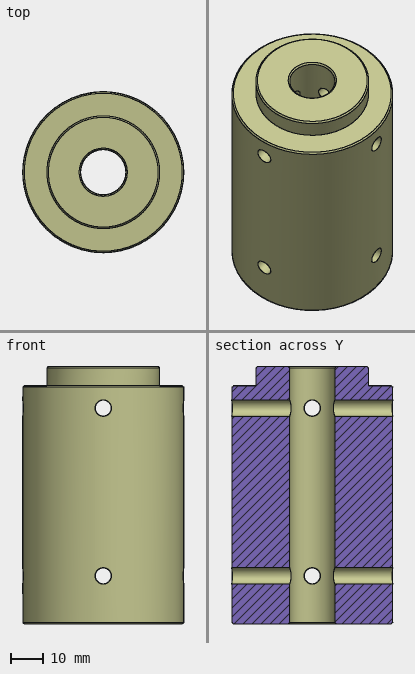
import cadquery as cq

total_height = 80.0
body_diameter = 50.0
spigot_diameter = 35.0
spigot_height = 6.0
bore_diameter = 14.0
edge_chamfer = 0.5

cross_hole_diameter = 5.0
lower_hole_height = 15.0
upper_hole_below_shoulder = 7.0

body_height = total_height - spigot_height
upper_hole_height = body_height - upper_hole_below_shoulder


def chamfered_cylinder(diameter, height):
    """Upright cylinder with both end edges chamfered."""
    return cq.Workplane("XY").circle(diameter / 2).extrude(height).edges().chamfer(edge_chamfer)


def cross_hole(plane, height):
    """Cutter for a radial hole passing right through the body."""
    return (
        cq.Workplane(plane)
        .center(0, height)
        .circle(cross_hole_diameter / 2)
        .extrude(body_diameter, both=True)
    )


body = chamfered_cylinder(body_diameter, body_height)
spigot = chamfered_cylinder(spigot_diameter, total_height)
result = body.union(spigot)

bore = cq.Workplane("XY").circle(bore_diameter / 2).extrude(total_height)
result = result.cut(bore)
bore_mouths = cq.selectors.RadiusNthSelector(0)
result = result.edges("%CIRCLE").edges(bore_mouths).chamfer(edge_chamfer)

for hole_height in (lower_hole_height, upper_hole_height):
    for hole_plane in ("XZ", "YZ"):
        result = result.cut(cross_hole(hole_plane, hole_height))